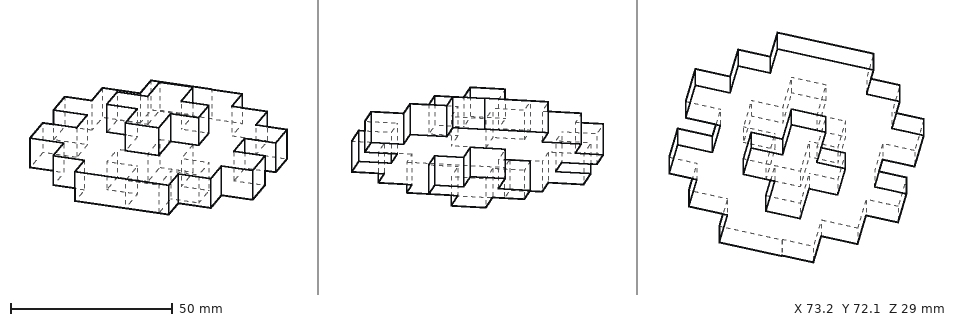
import cadquery as cq

length_x = 73.2
length_y = 72.1
right = length_x / 2
left = -right
back = length_y / 2
front = -back

plate_thickness = 10.0
plate_bottom = -5.0
plate_top = plate_bottom + plate_thickness
height_z = 29.0
upper_cross_height = height_z / 2 - plate_top
lower_cross_height = height_z / 2 + plate_bottom

body_left = -25.5
body_right = 26.35
back_shoulder_left = -27.75
shoulder_front = -27.1
shoulder_back_left = 25.8
shoulder_back_right = 26.05

front_block_left = -15.15
front_block_right = 15.65
back_block_left = -15.4
back_block_right = 14.7
back_step_x = 4.7
back_step_depth = 0.2

front_teeth_front = -17.05
left_front_tooth_back = -4.9
left_back_tooth_front = 5.1
left_back_tooth_back = 15.8
right_front_tooth_back = -5.4
right_back_tooth_front = 4.7
right_back_tooth_back = 15.4

cross_left = -15.6
cross_right = 14.6
cross_front = -16.1
cross_back = 16.0
long_bar_left = -5.55
long_bar_right = 5.4
cross_bar_front = -4.9
cross_bar_back = 4.9


def make_plate():
    """Stepped, toothed plate, outlined anticlockwise from the front block."""
    outline = [
        (front_block_left, front),
        (front_block_right, front),
        (front_block_right, shoulder_front),
        (body_right, shoulder_front),
        (body_right, front_teeth_front),
        (right, front_teeth_front),
        (right, right_front_tooth_back),
        (body_right, right_front_tooth_back),
        (body_right, right_back_tooth_front),
        (right, right_back_tooth_front),
        (right, right_back_tooth_back),
        (body_right, right_back_tooth_back),
        (body_right, shoulder_back_right),
        (back_block_right, shoulder_back_right),
        (back_block_right, back - back_step_depth),
        (back_step_x, back - back_step_depth),
        (back_step_x, back),
        (back_block_left, back),
        (back_block_left, shoulder_back_left),
        (back_shoulder_left, shoulder_back_left),
        (back_shoulder_left, left_back_tooth_back),
        (left, left_back_tooth_back),
        (left, left_back_tooth_front),
        (body_left, left_back_tooth_front),
        (body_left, left_front_tooth_back),
        (left, left_front_tooth_back),
        (left, front_teeth_front),
        (body_left, front_teeth_front),
        (body_left, shoulder_front),
        (front_block_left, shoulder_front),
    ]
    plane = cq.Workplane("XY").workplane(offset=plate_bottom)
    return plane.polyline(outline).close().extrude(plate_thickness)


def make_cross(bottom, height):
    """Upright cross standing on the level `bottom`."""
    outline = [
        (long_bar_left, cross_front),
        (long_bar_right, cross_front),
        (long_bar_right, cross_bar_front),
        (cross_right, cross_bar_front),
        (cross_right, cross_bar_back),
        (long_bar_right, cross_bar_back),
        (long_bar_right, cross_back),
        (long_bar_left, cross_back),
        (long_bar_left, cross_bar_back),
        (cross_left, cross_bar_back),
        (cross_left, cross_bar_front),
        (long_bar_left, cross_bar_front),
    ]
    plane = cq.Workplane("XY").workplane(offset=bottom)
    return plane.polyline(outline).close().extrude(height)


plate = make_plate()

cross_levels = [
    (plate_top, upper_cross_height),
    (plate_bottom - lower_cross_height, lower_cross_height),
]
crosses = [make_cross(bottom, height) for bottom, height in cross_levels]

result = cq.Compound.makeCompound([plate.val(), *[cross.val() for cross in crosses]])